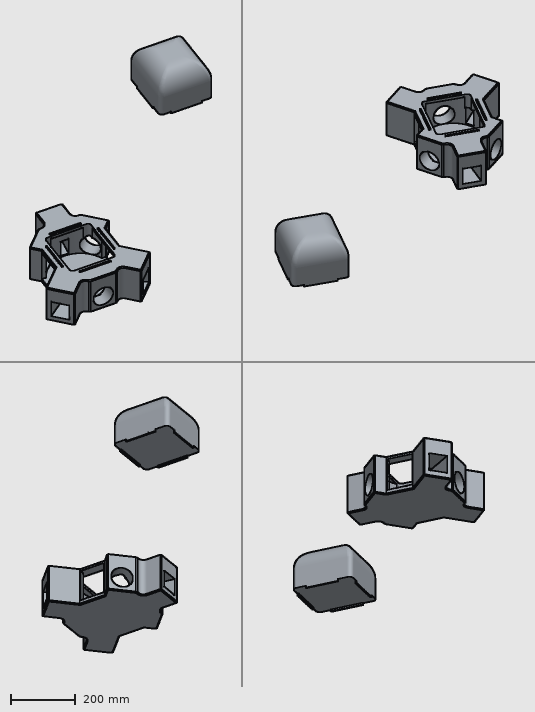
import cadquery as cq
import math

BASE_HEIGHT = 132.0
ARM_ANGLES = (180, 45, -45)
STUB_ANGLES = (0, 135, -135)
LIMB_HALF_WIDTH = 47.0
ARM_REACH = 212.0
STUB_REACH = 151.0
SIDE_HALF_DEPTH = 112.0
NOTCH_RADIUS = 18.0
EDGE_CHAMFER = 4.0

FLOOR = 15.0
ROOF_THICKNESS = 11.0
CAVITY_DIAMETER = 213.0
OPENING_LENGTH = 175.0
OPENING_WIDTH = 156.5
OPENING_CORNER_RADIUS = 11.0
OPENING_X = -2.0
PORT_HEIGHT = 50.0
BORE_DIAMETER = 68.5
TUNNEL_SIZE = 59.0
TUNNEL_INNER_WIDTH = 28.5
WINDOW_WIDTH = 85.0

CAP_LENGTH = 203.0
CAP_WIDTH = 185.0
CAP_CENTRE = (-567.0, 616.0)
CAP_BOTTOM = 96.0
CAP_TOP = 238.0
DOME_RADIUS = 71.0
CAP_CORNER_RADIUS = 14.0

TAB_LENGTH = 108.5
TAB_THICKNESS = 4.5
TAB_DEPTH = 6.0

CAVITY_TOP = BASE_HEIGHT - ROOF_THICKNESS
CAVITY_RADIUS = CAVITY_DIAMETER / 2
TUNNEL_FLOOR = PORT_HEIGHT - TUNNEL_SIZE / 2
TUNNEL_TOP = PORT_HEIGHT + TUNNEL_SIZE / 2


def polar_frame(angle, along, across):
    """Point at a distance along and to the left of a direction from the axis."""
    c = math.cos(math.radians(angle))
    s = math.sin(math.radians(angle))
    return (along * c - across * s, along * s + across * c)


def mirrored(points):
    """The same points reflected to the other side of the X axis, in reverse order."""
    return [(x, -y) for x, y in reversed(points)]


NOTCH_ALONG = (STUB_REACH + LIMB_HALF_WIDTH) / math.sqrt(2)
SIDE_HALF_LENGTH = SIDE_HALF_DEPTH - LIMB_HALF_WIDTH * math.sqrt(2)


def make_base_blank():
    w = LIMB_HALF_WIDTH
    left_arm_end = (-ARM_REACH, -w)
    left_notch = polar_frame(180, NOTCH_ALONG, w)
    stub_corners = [polar_frame(-135, STUB_REACH, -w), polar_frame(-135, STUB_REACH, w)]
    side_wall = [(-SIDE_HALF_LENGTH, -SIDE_HALF_DEPTH), (SIDE_HALF_LENGTH, -SIDE_HALF_DEPTH)]
    arm_corners = [polar_frame(-45, ARM_REACH, -w), polar_frame(-45, ARM_REACH, w)]
    right_notch = polar_frame(-45, NOTCH_ALONG, w)
    right_stub_corner = (STUB_REACH, -w)

    half = [left_arm_end, left_notch, *stub_corners, *side_wall, *arm_corners, right_notch, right_stub_corner]
    blank = cq.Workplane("XY").polyline(half + mirrored(half)).close().extrude(BASE_HEIGHT)

    notches = [left_notch, right_notch]
    blank = blank.edges(vertical_edges(notches + mirrored(notches))).fillet(NOTCH_RADIUS)
    outer = [left_arm_end, *stub_corners, *arm_corners, right_stub_corner]
    blank = blank.edges(vertical_edges(outer + mirrored(outer))).chamfer(EDGE_CHAMFER)
    return blank.faces("<Z or >Z").edges().chamfer(EDGE_CHAMFER)


def vertical_edges(points):
    """Selector for the vertical edges of the base through the given points."""
    selector = None
    for x, y in points:
        nearest = cq.selectors.NearestToPointSelector((x, y, BASE_HEIGHT / 2))
        selector = nearest if selector is None else selector + nearest
    return selector


def make_cavity():
    drum = cq.Workplane("XY").workplane(offset=FLOOR).circle(CAVITY_RADIUS).extrude(CAVITY_TOP - FLOOR)
    opening = (
        cq.Workplane("XY").workplane(offset=TUNNEL_TOP)
        .center(OPENING_X, 0).rect(OPENING_LENGTH, OPENING_WIDTH).extrude(BASE_HEIGHT - TUNNEL_TOP)
        .edges("|Z").fillet(OPENING_CORNER_RADIUS)
    )
    return drum.union(opening)


def make_bore(angle):
    bore = cq.Workplane("YZ").center(0, PORT_HEIGHT).circle(BORE_DIAMETER / 2).extrude(STUB_REACH)
    return bore.rotate((0, 0, 0), (0, 0, 1), angle)


def make_tunnel(angle):
    """Square-mouthed tunnel whose side walls close in towards the cavity."""
    mouth = TUNNEL_SIZE / 2
    throat = TUNNEL_INNER_WIDTH / 2
    plan = [(ARM_REACH, -mouth), (ARM_REACH, mouth), (CAVITY_RADIUS, throat), (0, throat),
            (0, -throat), (CAVITY_RADIUS, -throat)]
    tunnel = cq.Workplane("XY").workplane(offset=TUNNEL_FLOOR).polyline(plan).close().extrude(TUNNEL_SIZE)
    return tunnel.rotate((0, 0, 0), (0, 0, 1), angle)


def make_windows():
    """One cutter for the openings through both flat side walls."""
    return cq.Workplane("XY").box(
        WINDOW_WIDTH, 2 * SIDE_HALF_DEPTH, CAVITY_TOP - FLOOR, centered=(True, True, False)
    ).translate((0, 0, FLOOR))


def make_tabs(bottom):
    """Four thin bars along the rim of the cap, centred on the Z axis."""
    x = (CAP_LENGTH - TAB_THICKNESS) / 2
    y = (CAP_WIDTH - TAB_THICKNESS) / 2
    plane = cq.Workplane("XY").workplane(offset=bottom)
    ends = plane.pushPoints([(-x, 0), (x, 0)]).rect(TAB_THICKNESS, TAB_LENGTH).extrude(TAB_DEPTH)
    sides = plane.pushPoints([(0, -y), (0, y)]).rect(TAB_LENGTH, TAB_THICKNESS).extrude(TAB_DEPTH)
    return ends.union(sides)


def make_base():
    base = make_base_blank().cut(make_cavity()).cut(make_windows())
    for angle in STUB_ANGLES:
        base = base.cut(make_bore(angle))
    for angle in ARM_ANGLES:
        base = base.cut(make_tunnel(angle))
    return base.cut(make_tabs(BASE_HEIGHT - TAB_DEPTH).translate((OPENING_X, 0, 0)))


def make_cap():
    height = CAP_TOP - CAP_BOTTOM
    block = cq.Workplane("XY").box(CAP_LENGTH, CAP_WIDTH, height, centered=(True, True, False))
    across_x = block.edges("|Y and >Z").fillet(DOME_RADIUS)
    across_y = block.edges("|X and >Z").fillet(DOME_RADIUS)
    cap = across_x.intersect(across_y)
    cap = cap.edges("|Z").fillet(CAP_CORNER_RADIUS)
    cap = cap.translate((*CAP_CENTRE, CAP_BOTTOM))
    tabs = make_tabs(CAP_BOTTOM - TAB_DEPTH).translate((*CAP_CENTRE, 0))
    return cap.union(tabs)


base = make_base()
cap = make_cap()
result = cq.Compound.makeCompound([base.val(), cap.val()])